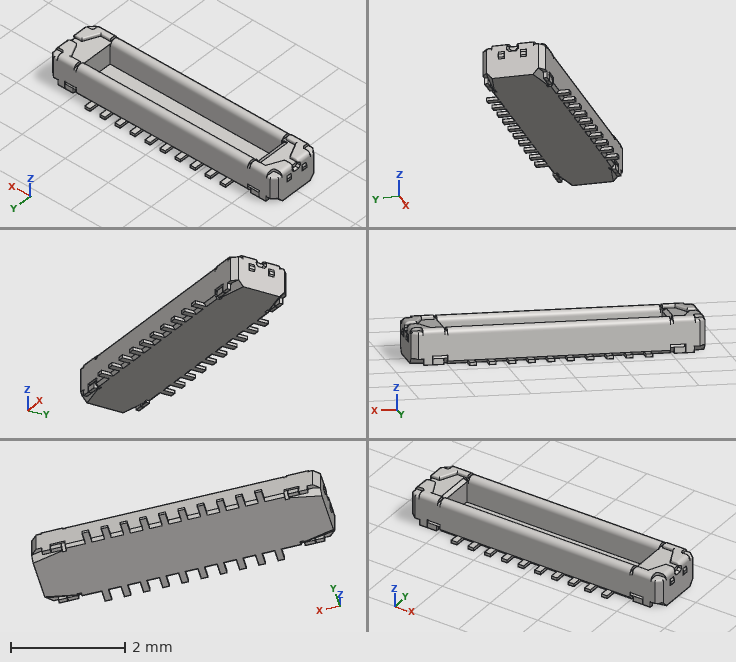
import cadquery as cq

total_length = 5.3
total_width = 1.5
total_height = 0.64

bump_reach = 0.02
body_length = total_length - 2 * bump_reach
body_width = 1.14
deck_height = 0.585
corner_along_x = 0.11
corner_along_y = 0.1
deck_edge_radius = 0.04
half_length = body_length / 2
half_width = body_width / 2

pocket_left = -2.025
pocket_right = 2.0
pocket_width = 0.68
pocket_floor = 0.125
ramp_length = 0.085
ramp_drop = 0.035
ramp_width = 0.72
rail_length = 3.985
rail_width = (body_width - pocket_width) / 2
rail_base = 0.475

cap_inner_x = 2.04
cap_base = 0.475
cap_edge_radius = 0.09
corner_relief_x = 0.195
corner_relief_y = 0.19
corner_relief_radius = 0.05
recess_half_width = 0.4
recess_shoulder_x = 2.265
recess_throat_x = 2.415
throat_half_width = 0.07
recess_edge_radius = 0.025

notch_outer_width = 0.21
notch_outer_bottom = 0.475
notch_taper = 0.03
notch_depth = 0.055
notch_bevel = 0.04

bump_spacing = 0.405
bump_width = 0.105
bump_levels = (0.355, 0.38, 0.44, 0.49)

lead_count = 10
lead_pitch = 0.35
lead_width = 0.12
lead_thickness = 0.06

foot_height = 0.11
foot_end_x = 2.415
leg_thickness = 0.07
skirt_inset = 0.05
tab_side_inset = 0.105
end_plate_low_half = 0.37
end_plate_high_half = half_width - corner_along_y
inner_leg_y = half_width - leg_thickness

window_outer_x = 2.265
window_inner_x = 1.995
window_height = 0.16
tab_outer_x = 2.25
tab_inner_x = 2.06
tab_height = 0.11


def block(x_range, y_range, z_range):
    """Axis-aligned box between the given limits."""
    size = [high - low for low, high in (x_range, y_range, z_range)]
    corner = (x_range[0], y_range[0], z_range[0])
    return cq.Workplane("XY").box(*size, centered=False).translate(corner)


def prism_along_x(yz_points, x_start, x_end):
    """Solid with a constant Y-Z section between two X positions."""
    section = cq.Workplane("YZ", origin=(x_start, 0, 0)).polyline(yz_points).close()
    return section.extrude(x_end - x_start)


def both_ends(solid):
    return solid.union(solid.mirror("YZ"))


def both_sides(solid):
    return solid.union(solid.mirror("XZ"))


def make_housing():
    cut_x = half_length - corner_along_x
    cut_y = half_width - corner_along_y
    outline = [
        (-half_length, -cut_y), (-cut_x, -half_width), (cut_x, -half_width), (half_length, -cut_y),
        (half_length, cut_y), (cut_x, half_width), (-cut_x, half_width), (-half_length, cut_y),
    ]
    housing = cq.Workplane("XY").polyline(outline).close().extrude(deck_height)
    return housing.faces(">Z").edges().fillet(deck_edge_radius)


def make_cap():
    """Left end cap: rounded outer edges, stepped corners, funnel-shaped recess."""
    cap = block((-half_length, -cap_inner_x), (-half_width, half_width), (cap_base, total_height))
    cap = cap.faces(">Z").edges("<X or <Y or >Y").fillet(cap_edge_radius)

    recess_outline = [
        (-half_length, throat_half_width), (-recess_throat_x, throat_half_width),
        (-recess_shoulder_x, recess_half_width), (-cap_inner_x, recess_half_width),
        (-cap_inner_x, -recess_half_width), (-recess_shoulder_x, -recess_half_width),
        (-recess_throat_x, -throat_half_width), (-half_length, -throat_half_width),
    ]
    recess = cq.Workplane("XY", origin=(0, 0, deck_height)).polyline(recess_outline).close()
    cap = cap.cut(recess.extrude(total_height - deck_height))

    rim_margin = 0.005
    recess_rim = cq.selectors.BoxSelector(
        (-half_length + cap_edge_radius, -recess_half_width - rim_margin, total_height - rim_margin),
        (-cap_inner_x - rim_margin, recess_half_width + rim_margin, total_height + rim_margin),
    )
    cap = cap.edges(recess_rim).fillet(recess_edge_radius)

    relief = block(
        (-half_length, -half_length + corner_relief_x),
        (half_width - corner_relief_y, half_width),
        (cap_base, total_height),
    )
    relief = relief.edges("|Z and >X and <Y").fillet(corner_relief_radius)
    return cap.cut(both_sides(relief))


def make_rail_bed():
    """Top of the housing cleared between the caps, where the rails are set in."""
    return block(
        (-rail_length / 2, rail_length / 2), (-half_width, half_width), (rail_base, total_height),
    )


def make_rail():
    """Rail with a half-round top spanning its whole width."""
    inner_y = half_width - rail_width
    rail_radius = rail_width / 2
    spring_height = total_height - rail_radius
    section = (
        cq.Workplane("YZ", origin=(-rail_length / 2, 0, 0))
        .moveTo(inner_y, rail_base)
        .lineTo(half_width, rail_base)
        .lineTo(half_width, spring_height)
        .threePointArc((half_width - rail_radius, total_height), (inner_y, spring_height))
        .close()
    )
    return section.extrude(rail_length)


def make_pocket():
    pocket = block(
        (pocket_left, pocket_right),
        (-pocket_width / 2, pocket_width / 2),
        (pocket_floor, total_height),
    )
    ramp_outline = [
        (pocket_left - ramp_length, deck_height),
        (pocket_left, deck_height),
        (pocket_left, deck_height - ramp_drop),
    ]
    ramp = cq.Workplane("XZ").polyline(ramp_outline).close().extrude(ramp_width / 2, both=True)
    return pocket.union(ramp)


def notch_outline(inset):
    """Y-Z outline of the notch, drawn in from its mouth by the inset."""
    side = notch_outer_width / 2 - inset
    bottom = notch_outer_bottom + inset
    bevel_top = bottom + notch_bevel
    foot = side - notch_bevel
    return [
        (-side, deck_height), (-side, bevel_top), (-foot, bottom),
        (foot, bottom), (side, bevel_top), (side, deck_height),
    ]


def make_end_notch():
    return (
        cq.Workplane("YZ", origin=(-half_length, 0, 0)).polyline(notch_outline(0)).close()
        .workplane(offset=notch_depth).polyline(notch_outline(notch_taper)).close()
        .loft(ruled=True)
    )


def make_bump():
    bottom, flat_bottom, flat_top, top = bump_levels
    profile = [
        (-half_length, bottom), (-total_length / 2, flat_bottom),
        (-total_length / 2, flat_top), (-half_length, top),
    ]
    bump = cq.Workplane("XZ").polyline(profile).close().extrude(bump_width / 2, both=True)
    return bump.translate((0, bump_spacing / 2, 0))


def make_corner_foot_relief():
    """Clears the lower corner: a square step in the leg and a long sloped facet behind it."""
    leg_step = block((-half_length, -foot_end_x), (inner_leg_y, half_width), (0, foot_height))
    facet_slope = (half_length - window_inner_x) / (inner_leg_y - end_plate_low_half)

    def facet_outline(plate_half):
        reach = (inner_leg_y - plate_half) * facet_slope
        return [
            (-half_length, plate_half),
            (-half_length + reach, inner_leg_y),
            (-half_length, inner_leg_y),
        ]

    facet = (
        cq.Workplane("XY").polyline(facet_outline(end_plate_low_half)).close()
        .workplane(offset=foot_height).polyline(facet_outline(end_plate_high_half)).close()
        .loft(ruled=True)
    )
    return leg_step.union(facet)


def make_skirt_bevel(x_start, x_end, height, inset):
    section = [(half_width, 0), (half_width, height), (half_width - inset, 0)]
    return prism_along_x(section, x_start, x_end)


def make_side_window():
    """Window in the leg, leaving a tab whose top slopes up toward the core."""
    tab_gap = [
        (half_width, tab_height), (half_width, window_height), (inner_leg_y, window_height),
    ]
    over_tab = prism_along_x(tab_gap, -window_outer_x, -window_inner_x)
    beside_tab = make_skirt_bevel(-tab_inner_x, -window_inner_x, tab_height, tab_side_inset)
    outer_slit = block((-window_outer_x, -tab_outer_x), (inner_leg_y, half_width), (0, window_height))
    return over_tab.union(beside_tab).union(outer_slit)


def make_leads():
    first_x = -lead_pitch * (lead_count - 1) / 2
    centers = [(first_x + lead_pitch * index, 0) for index in range(lead_count)]
    return cq.Workplane("XY").pushPoints(centers).rect(lead_width, total_width).extrude(lead_thickness)


result = make_housing().cut(make_rail_bed())
result = result.union(both_ends(make_cap()))
result = result.union(both_sides(make_rail()))
result = result.cut(make_pocket())
result = result.cut(both_ends(make_end_notch()))
result = result.cut(both_ends(both_sides(make_corner_foot_relief())))
result = result.cut(both_ends(both_sides(make_side_window())))
skirt_bevel = make_skirt_bevel(-window_inner_x, window_inner_x, lead_thickness, skirt_inset)
result = result.cut(both_sides(skirt_bevel))
result = result.union(both_ends(both_sides(make_bump())))
result = result.union(make_leads())